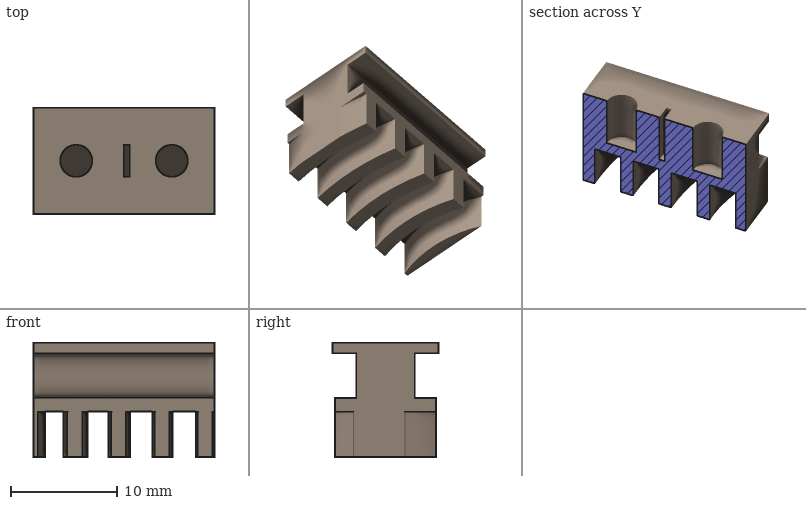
import cadquery as cq

length = 17.0
flange_width = 10.0
flange_thickness = 1.0
web_width = 5.5
web_height = 4.2
base_width = 9.5
base_height = 5.55
total_height = base_height + web_height + flange_thickness

channel_count = 5
channel_pitch = 4.0
channel_width = 2.65
channel_height = 4.27
first_inner_radius = 12.41
first_inner_apex_x = 1.12
axis_x = first_inner_apex_x - first_inner_radius
axis_y = -0.61

opening_depth = flange_thickness + web_height
hole_diameter = 3.01
hole_spacing = 8.98
key_slot_x = 8.75
key_slot_width = 0.53
key_slot_length = hole_diameter


def bar(width, height, bottom):
    """Full-length rectangular bar centred on the XZ plane."""
    return (
        cq.Workplane("XY", origin=(0, 0, bottom))
        .box(length, width, height, centered=(False, True, False))
    )


def make_body():
    base = bar(base_width, base_height, 0)
    web = bar(web_width, web_height, base_height)
    flange = bar(flange_width, flange_thickness, base_height + web_height)
    return base.union(web).union(flange)


def curved_channel(inner_radius):
    """Ring whose portion inside the base forms one channel."""
    return (
        cq.Workplane("XY", origin=(axis_x, axis_y, 0))
        .circle(inner_radius + channel_width)
        .circle(inner_radius)
        .extrude(channel_height)
    )


def cut_channels(body):
    for index in range(channel_count):
        body = body.cut(curved_channel(first_inner_radius + index * channel_pitch))
    return body


def cut_top_openings(body):
    top = cq.Workplane("XY", origin=(0, 0, total_height))
    hole_centers = [(length / 2 + side * hole_spacing / 2, 0) for side in (-1, 1)]
    holes = top.pushPoints(hole_centers).circle(hole_diameter / 2).extrude(-opening_depth)
    key_slot = top.center(key_slot_x, 0).rect(key_slot_width, key_slot_length).extrude(-opening_depth)
    return body.cut(holes).cut(key_slot)


result = cut_top_openings(cut_channels(make_body()))